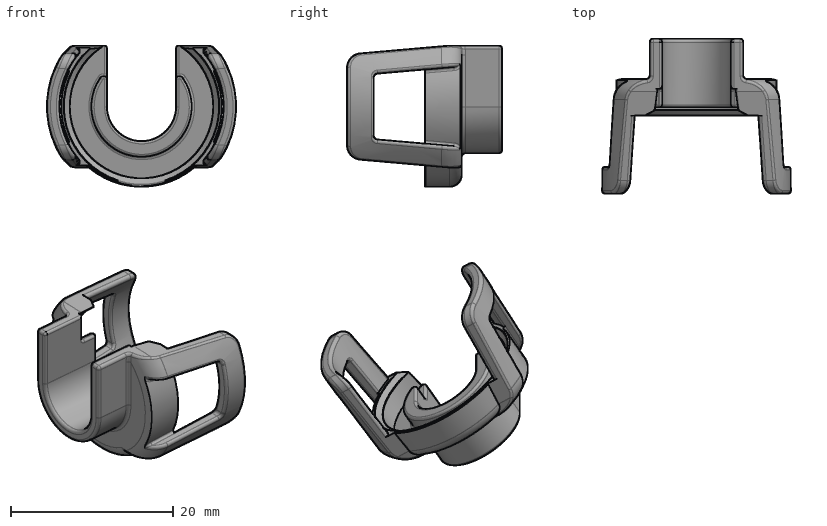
import cadquery as cq
import math

depth = 19.1
hub_back = 9.5
plate_back = 4.55
plate_front = 3.3
bend = 2.98
boss_front = 1.03
cone_start = 0.68
rim = 0.0
leg_tip = hub_back - depth

bore_radius = 4.25
boss_radius = 6.18
hub_radius = 5.75
cavity_radius = 8.81
rim_inner_radius = 9.55
cup_radius = 9.89
cup_back_round = 1.55
arm_inner_radius = 10.1
arm_tip_radius = 11.65
arm_draft = 1.1
arm_back_round = 2.57

top = 7.5
boss_top = 3.73
arm_taper = 5.0
arm_corner_radius = 1.85

window_back = 4.35
window_front = -6.3
window_half_height = 4.55
window_corner_radius = 0.47

hub_root_round = 0.42
slot_round = 0.33
boss_tip_round = 0.47
boss_root_round = 0.33
outline_round = 0.42
window_round = 0.35
window_root_round = 0.28
rim_round = 0.1
selection_margin = 0.012

reach = 14.0


def revolved(profile):
    return profile.close().revolve(360, (0, 0), (0, 1))


def drop(start, end):
    """Change of height along a tapered side of an arm."""
    return (start - end) * math.tan(math.radians(arm_taper))


def arm_blank():
    """Bell-shaped shell trimmed to the tapered arm outline."""
    back_radius = arm_tip_radius - (plate_back - leg_tip) * math.tan(math.radians(arm_draft))
    bell = revolved(
        cq.Workplane("XY")
        .moveTo(0, plate_back)
        .lineTo(back_radius, plate_back)
        .lineTo(arm_tip_radius, leg_tip)
        .lineTo(arm_inner_radius, leg_tip)
        .lineTo(arm_inner_radius, rim)
        .lineTo(0, rim)
    )
    bell = bell.faces(">Y").edges().fillet(arm_back_round)
    return bell.intersect(arm_outline())


def arm_outline():
    tip_half_height = top - drop(bend, leg_tip)
    return (
        cq.Workplane("YZ")
        .moveTo(plate_back, -top)
        .lineTo(bend, -top)
        .lineTo(leg_tip, -tip_half_height)
        .lineTo(leg_tip, tip_half_height)
        .lineTo(bend, top)
        .lineTo(plate_back, top)
        .close()
        .extrude(reach, both=True)
        .edges("|X and <Y")
        .fillet(arm_corner_radius)
    )


def windows():
    back_half = window_half_height + drop(window_back, rim)
    front_half = window_half_height - drop(rim, window_front)
    opening = (
        cq.Workplane("YZ")
        .moveTo(window_back, -back_half)
        .lineTo(window_front, -front_half)
        .lineTo(window_front, front_half)
        .lineTo(window_back, back_half)
        .close()
        .extrude(reach, both=True)
        .edges("|X and <Y")
        .fillet(window_corner_radius)
    )
    core = cq.Workplane("XZ").circle(cup_radius).extrude(reach, both=True)
    return opening.cut(core)


def edges_within(part, corner, opposite_corner):
    """Edges that lie wholly in a box, taken with a small margin."""
    margin = (selection_margin,) * 3
    low = tuple(a - b for a, b in zip(corner, margin))
    high = tuple(a + b for a, b in zip(opposite_corner, margin))
    return part.edges(cq.selectors.BoxSelector(low, high, boundingbox=True))


def edges_at_station(part, station):
    """Edges that lie in the plane at one Y station."""
    return edges_within(part, (-reach, station, -reach), (reach, station, reach))


def u_outline(radius, base):
    """Outline with a round bottom and straight sides, in the plane at one Y station."""
    return (
        cq.Workplane("XZ", origin=(0, base, 0))
        .moveTo(-radius, top)
        .lineTo(-radius, 0)
        .threePointArc((0, -radius), (radius, 0))
        .lineTo(radius, top)
        .close()
    )


def hub():
    return u_outline(hub_radius, hub_back).extrude(hub_back - plate_front)


def slot():
    return u_outline(bore_radius, hub_back).extrude(hub_back - leg_tip)


def hub_and_boss_on(body):
    """The body with its hub, cavity and boss, and the slot that runs through all of them."""
    body = body.union(hub())
    hub_low = (-hub_radius, plate_back, -hub_radius)
    hub_high = (hub_radius, plate_back, top)
    body = edges_within(body, hub_low, hub_high).fillet(hub_root_round)
    body = body.cut(cavity()).union(boss()).cut(slot())
    boss_low = (-boss_radius, plate_front, -boss_radius)
    boss_high = (boss_radius, plate_front, boss_top)
    return edges_within(body, boss_low, boss_high).fillet(boss_root_round)


def with_rounded_outline(body):
    tips = edges_at_station(body, leg_tip).vals()
    back = edges_at_station(body, hub_back).vals()
    return body.newObject(tips + back).fillet(outline_round)


def with_rounded_slot(body):
    """Round the top and front edges of the slot and the front of the boss."""
    edges = edges_at_station(body, boss_front).vals()
    for wall in (-bore_radius, bore_radius):
        edges += edges_within(body, (wall, boss_front, boss_top), (wall, hub_back, top)).edges("|Y").vals()
        edges += edges_within(body, (wall, plate_front, boss_top), (wall, plate_front, top)).vals()
    return body.newObject(edges).fillet(slot_round)


def with_windows(body):
    body = body.cut(windows())
    return edges_at_station(body, window_front).edges("%CIRCLE").fillet(window_round)


def cup_bottom():
    """Lower half of the round cup, rounded at the back."""
    shell = revolved(
        cq.Workplane("XY")
        .moveTo(0, plate_back)
        .lineTo(cup_radius, plate_back)
        .lineTo(cup_radius, rim)
        .lineTo(0, rim)
    )
    shell = shell.faces(">Y").edges().fillet(cup_back_round)
    lower_half = cq.Workplane("XY").box(2 * reach, 2 * reach, reach).translate((0, 0, -reach / 2))
    return shell.intersect(lower_half).cut(slot()).cut(cavity())


def cavity():
    """Round recess with a flared mouth."""
    return revolved(
        cq.Workplane("XY")
        .moveTo(0, plate_front)
        .lineTo(cavity_radius, plate_front)
        .lineTo(cavity_radius, cone_start)
        .lineTo(rim_inner_radius, rim)
        .lineTo(0, rim)
    )


def boss():
    """Collar around the bore, with a flat, round-cornered end on each side of the slot."""
    length = plate_front - boss_front
    collar = cq.Workplane("XZ", origin=(0, plate_front, 0)).circle(boss_radius).extrude(length)
    below_end = cq.Workplane("XY").box(2 * reach, 2 * reach, reach).translate((0, 0, boss_top - reach / 2))
    collar = collar.intersect(below_end)
    return collar.edges("|Y and >Z").fillet(boss_tip_round).cut(slot())


def with_rounded_window_roots(body):
    """Round the inner corners where the window sides meet the cup wall."""
    high = window_half_height
    higher = window_half_height + drop(window_back, rim)
    far = math.sqrt(cup_radius**2 - high**2)
    near = math.sqrt(cup_radius**2 - higher**2)
    roots = []
    for x_low, x_high in ((-far, -near), (near, far)):
        for z_low, z_high in ((-higher, -high), (high, higher)):
            roots += edges_within(body, (x_low, rim, z_low), (x_high, window_back, z_high)).vals()
    return body.newObject(roots).fillet(window_root_round)


def with_rounded_rim(body):
    """Slightly round the flare, the top of the cavity wall and the lower outside of the rim."""
    flare = cq.selectors.BoxSelector(
        (-reach, rim - selection_margin, -reach),
        (reach, cone_start + selection_margin, reach),
        boundingbox=True,
    )
    edges = body.faces("%CONE").faces(flare).edges().vals()
    rim_top = top - drop(bend, rim)
    wall_low = (-cavity_radius, cone_start, rim_top)
    wall_high = (cavity_radius, bend, top)
    edges += edges_within(body, wall_low, wall_high).edges("%ELLIPSE").vals()
    outside_low = (-cup_radius, rim, -cup_radius)
    outside_high = (cup_radius, rim, -rim_top)
    edges += edges_within(body, outside_low, outside_high).edges("%CIRCLE").vals()
    return body.newObject(edges).fillet(rim_round)


housing = hub_and_boss_on(arm_blank())
housing = with_rounded_outline(housing)
housing = with_rounded_slot(housing)
housing = with_windows(housing)
housing = housing.union(cup_bottom())
housing = with_rounded_window_roots(housing)
housing = with_rounded_rim(housing)

result = cq.Compound.makeCompound([housing.val()])